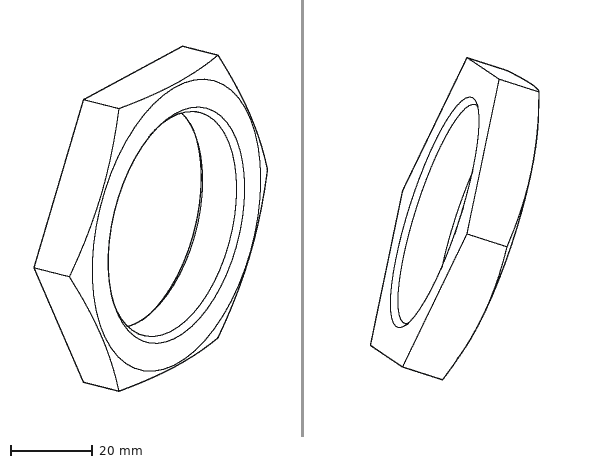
import cadquery as cq
import math

across_corners = 86.6
thickness = 13.0
bore_diameter = 56.7
bore_mouth_diameter = 59.6
bore_chamfer_angle = 45.0
crown_face_diameter = 73.6
crown_angle = 20.0

corner_radius = across_corners / 2
bore_radius = bore_diameter / 2
bore_mouth_radius = bore_mouth_diameter / 2
crown_face_radius = crown_face_diameter / 2
crown_drop = (corner_radius - crown_face_radius) * math.tan(math.radians(crown_angle))
bore_chamfer_depth = (bore_mouth_radius - bore_radius) * math.tan(math.radians(bore_chamfer_angle))


def revolve_about_x(profile_points):
    """Turn a closed (x, radius) profile about the X axis."""
    profile = cq.Workplane("XY").polyline(profile_points).close()
    return profile.revolve(360, (0, 0, 0), (1, 0, 0))


def hexagon():
    return cq.Workplane("YZ").polygon(6, across_corners).extrude(thickness)


def crown_envelope():
    """Round bar whose conical +X end bevels the six corners."""
    return revolve_about_x([
        (0, 0),
        (0, corner_radius),
        (thickness - crown_drop, corner_radius),
        (thickness, crown_face_radius),
        (thickness, 0),
    ])


def chamfered_bore():
    """Through bore, opened out by a chamfer at both ends."""
    return revolve_about_x([
        (0, 0),
        (0, bore_mouth_radius),
        (bore_chamfer_depth, bore_radius),
        (thickness - bore_chamfer_depth, bore_radius),
        (thickness, bore_mouth_radius),
        (thickness, 0),
    ])


result = hexagon().intersect(crown_envelope()).cut(chamfered_bore())